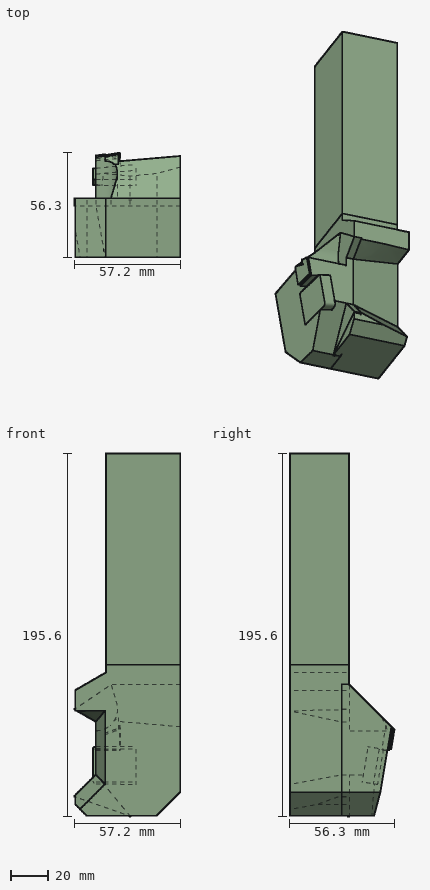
import cadquery as cq
import math


HEIGHT = 195.0
SHANK_WIDTH = 40.0
DEPTH = 31.9
HEAD_HEIGHT = 81.3
NOSE_X = -56.6
NOSE_ROOT_Z = 77.2
NOSE_SLOPE = math.radians(30)
TOE_CHAMFER = 6.3
HEEL_CHAMFER = 12.8

LAND_START_Y = 27.8
LAND_X = -45.5
LAND_TOP_Z = 50.6
LAND_BOTTOM_Z = 22.2
MOUTH_X = -40.5
MOUTH_TOP_Z = 56.5
MOUTH_BOTTOM_Z = 17.1
RECESS_OPEN_X = -65.0

WING_TIP_X = -57.19
FOOT_X = -27.1
FOOT_LIP_HEIGHT = 0.58
FOOT_LIP_DEPTH = 0.8

BLADE_SHELF_Z = 45.9
FLUTE_RADIUS = 11.6
FLUTE_LEAN = math.radians(14)
CREST_X = -37.3
CREST_Z = 70.8
BLADE_REACH = 30.0
BACK_Y = 46.6
BACK_SLOPE_X = 0.1
BACK_SLOPE_Z = 0.167

PAD_HEIGHT = 4.1
PAD_ROOT = 1.0
PAD_RIGHT_X = -31.8
PAD_BOTTOM_Z = 36.5
PAD_LENGTH = 20.0
PAD_WIDTH = 14.8
INSERT_THICKNESS = 1.0

FACET_PEAK = (-35.4, 50.5, 51.1)
FACET_NORMAL = (-0.35, 0.66, 0.66)
FACET_LEFT_X = -40.3
FACET_FRONT_Y = 50.0

CLAMP_LEFT_X = -47.1
CLAMP_RIGHT_X = -24.0
CLAMP_INNER_Y = 38.8
CLAMP_BOTTOM_Z = 18.4
CLAMP_HEIGHT = 19.2
CLAMP_BLANK = 15.0
CLAMP_LEAN = math.degrees(math.atan(BACK_SLOPE_Z))
CLAMP_ROUND = 1.7

BIG = 400.0


def prism(outline, y_start, y_end):
    """Extrude an X-Z outline from y_start to y_end."""
    plane = cq.Workplane("XZ", origin=(0, y_start, 0))
    return plane.polyline(outline).close().extrude(y_start - y_end)


def back_plane(offset):
    """Plane along the leaning back of the blade, local x toward -X and local y upward."""
    lean = math.sqrt(1 + BACK_SLOPE_X**2 + BACK_SLOPE_Z**2)
    return cq.Plane(
        origin=(0, BACK_Y + offset * lean, 0),
        xDir=(-1, -BACK_SLOPE_X, 0),
        normal=(-BACK_SLOPE_X, 1, -BACK_SLOPE_Z),
    )


def in_front_of_back():
    """Everything on the front side of the blade's back."""
    return cq.Workplane(back_plane(0)).rect(BIG, BIG).extrude(-BIG)


def make_shank():
    corner = cq.Workplane("XY", origin=(-SHANK_WIDTH, 0, HEAD_HEIGHT))
    return corner.box(SHANK_WIDTH, DEPTH, HEIGHT - HEAD_HEIGHT, centered=False)


def recess_outline(corner_x, top_z, bottom_z, top_slope):
    """Recess with a 45 degree lower flank, open toward -X."""
    run = corner_x - RECESS_OPEN_X
    return [
        (corner_x, top_z),
        (corner_x, bottom_z),
        (RECESS_OPEN_X, bottom_z - run),
        (RECESS_OPEN_X, top_z + run * math.tan(top_slope)),
    ]


def make_recess():
    land = recess_outline(LAND_X, LAND_TOP_Z, LAND_BOTTOM_Z, NOSE_SLOPE)
    mouth = recess_outline(MOUTH_X, MOUTH_TOP_Z, MOUTH_BOTTOM_Z, 0)
    flare = (
        cq.Workplane("XZ").polyline(mouth).close()
        .workplane(offset=-LAND_START_Y).polyline(land).close()
        .loft(ruled=True)
    )
    return flare.union(prism(land, LAND_START_Y, DEPTH))


def make_flange():
    """Winged plate at the root of the blade, set in the back of the head around the recess."""
    run = LAND_X - WING_TIP_X
    outline = [
        (LAND_X, LAND_TOP_Z),
        (WING_TIP_X, LAND_TOP_Z + run * math.tan(NOSE_SLOPE)),
        (CREST_X, CREST_Z),
        (0, CREST_Z),
        (0, HEEL_CHAMFER),
        (-HEEL_CHAMFER, 0),
        (FOOT_X, 0),
        (WING_TIP_X, LAND_BOTTOM_Z - run),
        (LAND_X, LAND_BOTTOM_Z),
    ]
    foot_lip = [
        (FOOT_X - FOOT_LIP_HEIGHT, 0),
        (FOOT_X, -FOOT_LIP_HEIGHT),
        (FOOT_X + FOOT_LIP_HEIGHT, 0),
    ]
    plate = prism(outline, LAND_START_Y, DEPTH)
    return plate.union(prism(foot_lip, DEPTH - FOOT_LIP_DEPTH, DEPTH))


def make_head():
    nose_top_z = NOSE_ROOT_Z - (-SHANK_WIDTH - NOSE_X) * math.tan(NOSE_SLOPE)
    outline = [
        (0, HEAD_HEIGHT),
        (-SHANK_WIDTH, HEAD_HEIGHT),
        (-SHANK_WIDTH, NOSE_ROOT_Z),
        (NOSE_X, nose_top_z),
        (NOSE_X, TOE_CHAMFER),
        (NOSE_X + TOE_CHAMFER, 0),
        (-HEEL_CHAMFER, 0),
        (0, HEEL_CHAMFER),
    ]
    return prism(outline, 0, DEPTH).cut(make_recess()).cut(make_flange())


def make_blade_stock():
    """Blade section with its concave flute, topped by a 45 degree slope, before the back is cut."""
    flute_z = BLADE_SHELF_Z + FLUTE_RADIUS
    wall_x = LAND_X + FLUTE_RADIUS * math.cos(FLUTE_LEAN)
    wall_z = flute_z + FLUTE_RADIUS * math.sin(FLUTE_LEAN)
    middle = (FLUTE_LEAN - math.pi / 2) / 2
    section = (
        cq.Workplane("XZ", origin=(0, DEPTH, 0))
        .moveTo(LAND_X, BLADE_SHELF_Z)
        .threePointArc(
            (LAND_X + FLUTE_RADIUS * math.cos(middle), flute_z + FLUTE_RADIUS * math.sin(middle)),
            (wall_x, wall_z),
        )
        .lineTo(CREST_X, CREST_Z)
        .lineTo(0, CREST_Z)
        .lineTo(0, HEEL_CHAMFER)
        .lineTo(-HEEL_CHAMFER, 0)
        .lineTo(FOOT_X, 0)
        .lineTo(LAND_X, LAND_BOTTOM_Z)
        .close()
        .extrude(-BLADE_REACH)
    )
    slope = (
        cq.Workplane("YZ")
        .polyline([(DEPTH, CREST_Z), (DEPTH + CREST_Z, 0), (DEPTH + CREST_Z, CREST_Z)])
        .close()
        .extrude(-BIG)
    )
    return section.cut(slope)


def pad_block(base, thickness):
    """Block lying on the blade's back, running past the blade's left side and top."""
    return (
        cq.Workplane(back_plane(base))
        .center(-PAD_RIGHT_X, PAD_BOTTOM_Z)
        .rect(PAD_WIDTH, PAD_LENGTH, centered=False)
        .extrude(thickness)
    )


def facet_cutter():
    """Everything above the facet, kept within its left and front ends."""
    facet_plane = cq.Plane(origin=FACET_PEAK, xDir=(0, 0, 1), normal=FACET_NORMAL)
    above = cq.Workplane(facet_plane).rect(BIG, BIG).extrude(BIG)
    corner = cq.Workplane("XY", origin=(FACET_LEFT_X, FACET_FRONT_Y, 0))
    within_ends = corner.box(BIG, BIG, BIG, centered=False)
    return above.intersect(within_ends)


def make_clamp():
    """Leaning bar with rounded left corners, flush with the blade's back."""
    bar = (
        cq.Workplane("XY")
        .box(CLAMP_RIGHT_X - CLAMP_LEFT_X, CLAMP_BLANK, CLAMP_HEIGHT, centered=False)
        .edges("|Y and <X")
        .fillet(CLAMP_ROUND)
        .rotate((0, 0, 0), (1, 0, 0), -CLAMP_LEAN)
        .translate((CLAMP_LEFT_X, CLAMP_INNER_Y, CLAMP_BOTTOM_Z))
    )
    return bar.intersect(in_front_of_back())


def make_faceted_stock():
    return make_blade_stock().cut(facet_cutter())


def make_blade():
    stock = make_faceted_stock()
    web = stock.intersect(in_front_of_back())
    pad = stock.intersect(pad_block(-PAD_ROOT, PAD_HEIGHT + PAD_ROOT))
    return web.union(pad).union(make_flange()).cut(make_clamp())


def make_insert():
    """Thin plate lying on the pad."""
    return make_faceted_stock().intersect(pad_block(PAD_HEIGHT, INSERT_THICKNESS))


result = cq.Compound.makeCompound(
    [
        make_shank().val(),
        make_head().val(),
        make_blade().val(),
        make_insert().val(),
        make_clamp().val(),
    ]
)